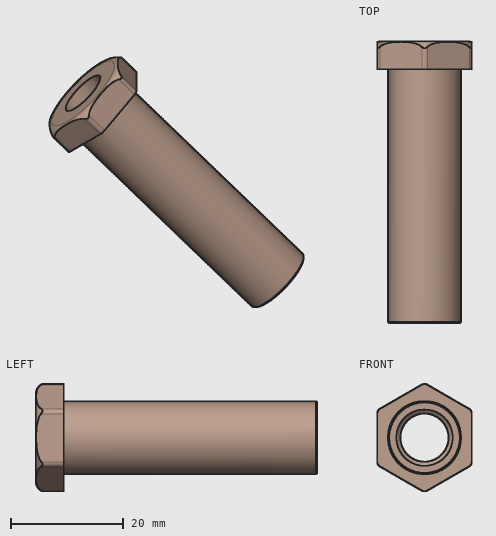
import cadquery as cq
import math

total_length = 50.0
head_height = 5.0
across_flats = 16.8
corner_radius = 1.0
shank_diameter = 13.0
bore_diameter = 8.5

shank_chamfer = 0.25
countersink_diameter = 10.0
countersink_angle = 90.0
head_edge_radius = 2.0

shank_length = total_length - head_height


def make_head():
    """Hexagon with flats facing +X and -X, rounded corners and a turned, rounded top edge."""
    across_corners = across_flats / math.cos(math.radians(30))
    hexagon = (
        cq.Workplane("XZ", origin=(0, shank_length, 0))
        .transformed(rotate=(0, 0, 30))
        .polygon(6, across_corners)
        .extrude(-head_height)
        .edges("|Y")
        .fillet(corner_radius)
    )
    envelope = (
        cq.Workplane("XZ", origin=(0, shank_length, 0))
        .circle(across_corners / 2)
        .extrude(-head_height)
        .faces(">Y")
        .edges()
        .fillet(head_edge_radius)
    )
    return hexagon.intersect(envelope)


def make_shank():
    """Round shank with a small chamfer on its free end."""
    shank = cq.Workplane("XZ").circle(shank_diameter / 2).extrude(-shank_length)
    return shank.faces("<Y").chamfer(shank_chamfer)


def make_bore():
    """Through bore widened by a countersink at the free end of the shank."""
    bore_radius = bore_diameter / 2
    mouth_radius = countersink_diameter / 2
    countersink_depth = (mouth_radius - bore_radius) / math.tan(math.radians(countersink_angle / 2))
    return (
        cq.Workplane("XY")
        .lineTo(mouth_radius, 0)
        .lineTo(bore_radius, countersink_depth)
        .lineTo(bore_radius, total_length)
        .lineTo(0, total_length)
        .close()
        .revolve(360, (0, 0, 0), (0, 1, 0))
    )


result = make_head().union(make_shank()).cut(make_bore())